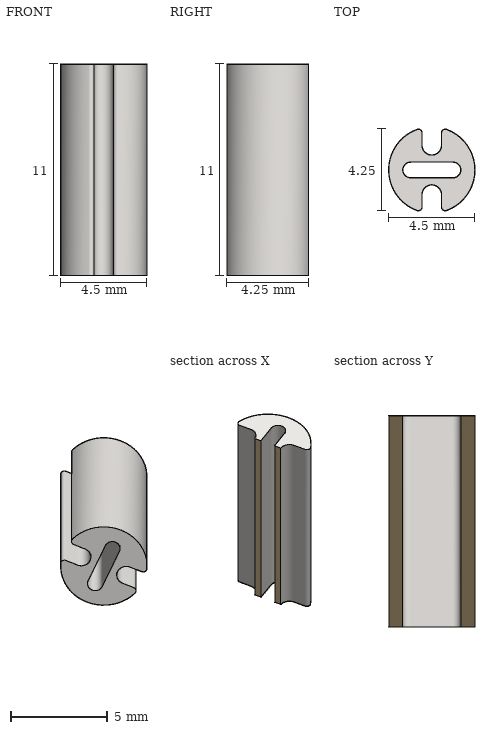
import cadquery as cq

length = 11.0
outer_diameter = 4.5
groove_width = 1.0
groove_floor = 0.78
lip_radius = 0.2
slot_length = 3.0
slot_width = 0.8

outer_radius = outer_diameter / 2
groove_radius = groove_width / 2


def groove_cutter(side):
    """Round-bottomed groove along the full length, open towards side * Y."""
    arc_center = side * (groove_floor + groove_radius)
    round_bottom = cq.Workplane("XY").center(0, arc_center).circle(groove_radius).extrude(length)
    open_part = (
        cq.Workplane("XY")
        .center(0, arc_center + side * outer_radius / 2)
        .rect(groove_width, outer_radius)
        .extrude(length)
    )
    return round_bottom.union(open_part)


body = cq.Workplane("XY").circle(outer_radius).extrude(length)
for side in (-1, 1):
    body = body.cut(groove_cutter(side))

for side in (-1, 1):
    mouth = cq.selectors.BoxSelector(
        (-outer_radius, side * (outer_radius - groove_radius), 0),
        (outer_radius, side * outer_radius, length),
    )
    body = body.edges("|Z").edges(mouth).fillet(lip_radius)

central_slot = cq.Workplane("XY").slot2D(slot_length, slot_width).extrude(length)
result = body.cut(central_slot)